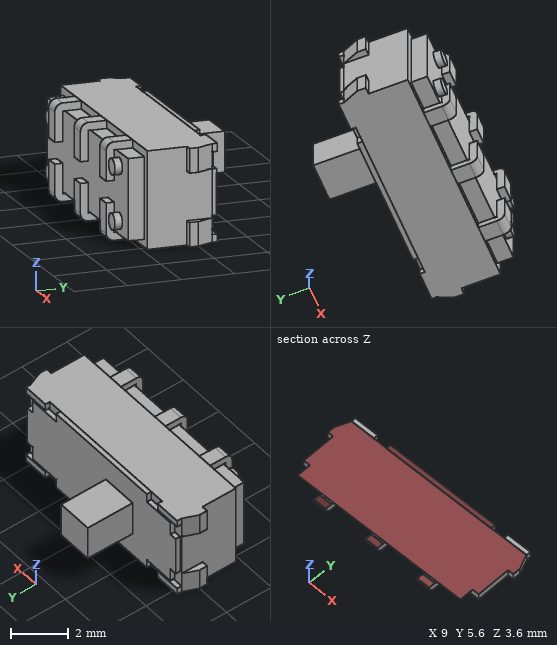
import cadquery as cq


overall_length = 9.0
overall_depth = 5.6
overall_height = 3.6

clip_projection = 0.25
housing_length = overall_length - 2 * clip_projection
face_y = 2.61
wall = 0.3
base_length = housing_length - 2 * wall
base_height = overall_height - 2 * wall
base_depth = 0.61
peg_diameter = 0.6
peg_depth = 0.28
peg_x = 3.1
peg_z = 1.0
clip_height = 0.9
clip_start_y = 1.48
clip_flat = 0.33
tab_length = 1.1

terminal_width = 0.6
terminal_pitch = 2.5
terminal_thickness = wall
terminal_reach = 0.99
terminal_foot = 1.4

plate_thickness = 0.2
plate_start_y = face_y - plate_thickness
plate_inset = 0.38
short_ear_inset = 0.08
long_ear_length = 5.09
short_ear_height = 1.7
slider_size = 1.5
slider_x = -1.0
slider_reach = overall_depth - terminal_reach - face_y


def block(x_size, y_start, y_length, z_size):
    """Box centred in X and Z that starts at y_start and runs towards +Y."""
    return cq.Workplane("XY").box(x_size, y_length, z_size).translate((0, y_start + y_length / 2, 0))


def make_corner_tabs():
    """Four tabs that carry the top and bottom of the housing on past the plate's ends."""
    tab = block(tab_length, plate_start_y, plate_thickness, wall)
    tab_x = (housing_length - tab_length) / 2
    tab_z = (overall_height - wall) / 2
    return [
        tab.translate((side * tab_x, 0, level * tab_z))
        for side in (-1, 1)
        for level in (-1, 1)
    ]


def make_clip(side, level):
    """Snap clip on one end wall: flat, then sloping in to the wall behind the corner tabs."""
    wall_x = side * housing_length / 2
    tip_x = side * overall_length / 2
    clip_z = level * (overall_height - clip_height) / 2
    return (
        cq.Workplane("XY")
        .moveTo(0, clip_start_y)
        .lineTo(tip_x, clip_start_y)
        .lineTo(tip_x, clip_start_y + clip_flat)
        .lineTo(wall_x, plate_start_y)
        .lineTo(0, plate_start_y)
        .close()
        .extrude(clip_height / 2, both=True)
        .translate((0, 0, clip_z))
    )


def make_housing():
    housing = block(housing_length, 0, plate_start_y, overall_height)
    housing = housing.union(block(base_length, -base_depth, base_depth, base_height))
    for tab in make_corner_tabs():
        housing = housing.union(tab)
    for side in (-1, 1):
        for level in (-1, 1):
            housing = housing.union(make_clip(side, level))
    pegs = (
        cq.Workplane("XZ", origin=(0, -base_depth, 0))
        .rect(2 * peg_x, 2 * peg_z, forConstruction=True)
        .vertices()
        .circle(peg_diameter / 2)
        .extrude(peg_depth)
    )
    return housing.union(pegs)


def make_actuator():
    """Plate with an ear on each edge, and the square slider standing on its front."""
    plate_length = housing_length - 2 * plate_inset
    plate_height = overall_height - 2 * plate_inset
    short_ear_span = housing_length - 2 * short_ear_inset
    plate = block(plate_length, plate_start_y, plate_thickness, plate_height)
    long_ears = block(long_ear_length, plate_start_y, plate_thickness, overall_height)
    short_ears = block(short_ear_span, plate_start_y, plate_thickness, short_ear_height)
    slider = block(slider_size, face_y, slider_reach, slider_size).translate((slider_x, 0, 0))
    return plate.union(long_ears).union(short_ears).union(slider)


def make_terminal(x, level):
    """L-shaped strip with a rounded outer corner, above (level 1) or below (level -1) the base."""
    outer_z = level * overall_height / 2
    inner_z = level * (overall_height / 2 - terminal_thickness)
    foot_z = level * (overall_height / 2 - terminal_foot)
    inner_y = -terminal_reach + terminal_thickness
    return (
        cq.Workplane("YZ", origin=(x, 0, 0))
        .moveTo(0, outer_z)
        .lineTo(inner_y, outer_z)
        .radiusArc((-terminal_reach, inner_z), -level * terminal_thickness)
        .lineTo(-terminal_reach, foot_z)
        .lineTo(inner_y, foot_z)
        .lineTo(inner_y, inner_z)
        .lineTo(0, inner_z)
        .close()
        .extrude(terminal_width / 2, both=True)
    )


housing = make_housing()
actuator = make_actuator()
terminals = [
    make_terminal(column * terminal_pitch, level)
    for column in (-1, 0, 1)
    for level in (-1, 1)
]

result = cq.Compound.makeCompound(
    [housing.val(), actuator.val(), *[terminal.val() for terminal in terminals]]
)